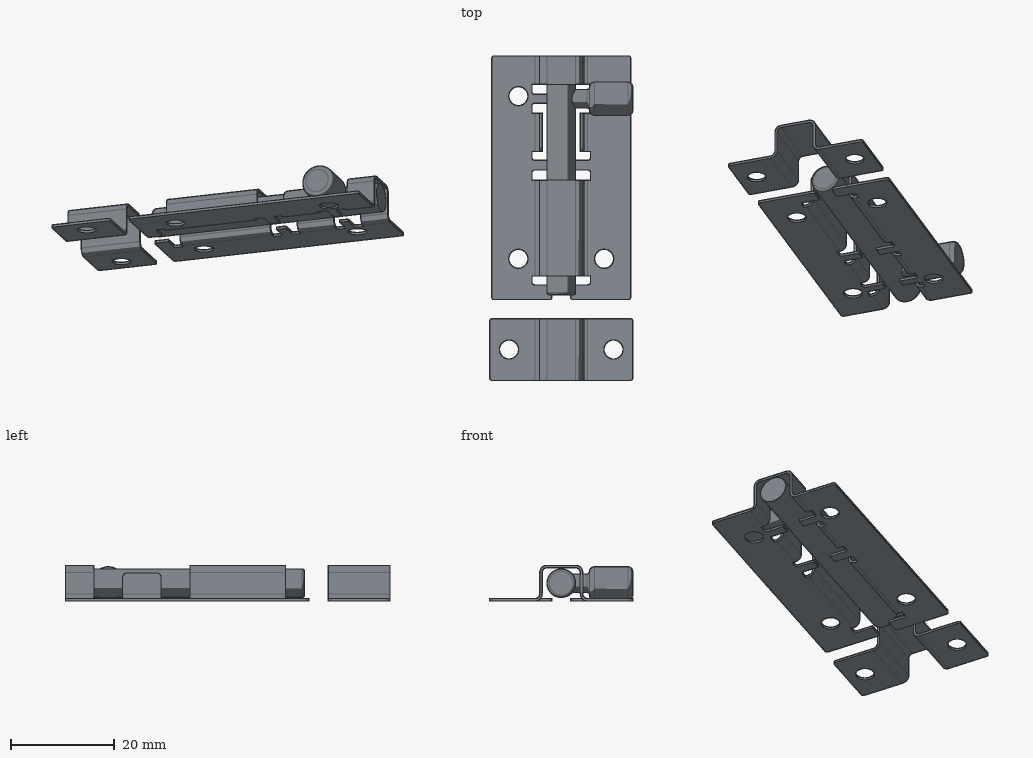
import cadquery as cq
import math

sheet = 0.5
bend_inner = 0.9
bend_outer = bend_inner + sheet
hat_width = 8.3
hat_height = 6.9
corner_radius = 0.5
hole_diameter = 3.6

wall_outer = hat_width / 2
wall_inner = wall_outer - sheet
foot_end = wall_outer + bend_inner

overall_length = 62.5
strike_length = 11.95
plate_length = 46.95
plate_back = overall_length
plate_front = plate_back - plate_length

strike_width = 27.55
strike_hole_x = 10.05

plate_width = 26.8
channel_width = 3.55
plate_hole_x = 8.25
hole_back_y = plate_back - 7.75
hole_front_y = plate_back - 39.05
cutout_width = 11.25

back_bridge = (plate_back - 5.5, plate_back)
front_bridge = (plate_back - 42.4, plate_back - 23.95)

back_cutout = (plate_back - 7.4, plate_back)
tab_cutout = (plate_back - 20.05, plate_back - 9.1)
front_cutout = (plate_back - 44.05, plate_back - 22.0)

tab_span = (plate_back - 18.45, plate_back - 11.0)
tab_height = 5.45
tab_corner_radius = 0.95

bolt_diameter = 5.5
bolt_axis_z = 3.45
bolt_tip_y = plate_back - 46.0
bolt_tip_round = 0.45
handle_y = plate_back - 8.25
pin_diameter = 3.6
knob_diameter = 6.4
knob_start_x = 5.45
knob_end_x = strike_width / 2
knob_round = 0.95


def block(x_min, x_max, y_span, z_min, z_max):
    """Box between the given limits."""
    size = (x_max - x_min, y_span[1] - y_span[0], z_max - z_min)
    return cq.Workplane("XY").box(*size, centered=False).translate((x_min, y_span[0], z_min))


def extrude_along_y(profile, y_span):
    """Extrude an XZ profile from the front end to the back end of a span."""
    return profile.extrude(-(y_span[1] - y_span[0])).translate((0, y_span[0], 0))


def arc_middle(centre_x, centre_height, radius, side_x, side_height):
    """Middle point of a quarter arc that bulges toward the given diagonal."""
    offset = radius * math.sqrt(0.5)
    return (centre_x + side_x * offset, centre_height + side_height * offset)


def bent_wall(y_span):
    """Left half of a hat section: foot bend, wall, top bend and half of the roof."""
    foot_z = bend_outer
    top_x = wall_outer - bend_outer
    top_z = hat_height - bend_outer
    profile = (
        cq.Workplane("XZ")
        .moveTo(-foot_end, 0)
        .threePointArc(arc_middle(-foot_end, foot_z, bend_outer, 1, -1), (-wall_inner, foot_z))
        .lineTo(-wall_inner, top_z)
        .threePointArc(arc_middle(-top_x, top_z, bend_inner, -1, 1), (-top_x, hat_height - sheet))
        .lineTo(0, hat_height - sheet)
        .lineTo(0, hat_height)
        .lineTo(-top_x, hat_height)
        .threePointArc(arc_middle(-top_x, top_z, bend_outer, -1, 1), (-wall_outer, top_z))
        .lineTo(-wall_outer, foot_z)
        .threePointArc(arc_middle(-foot_end, foot_z, bend_inner, 1, -1), (-foot_end, sheet))
        .close()
    )
    return extrude_along_y(profile, y_span)


def mirrored_pair(half):
    """A left half together with its mirror image on the right."""
    return half.union(half.mirror("YZ"))


def drill(sheet_body, places):
    """Screw holes through the flat sheet."""
    drills = cq.Workplane("XY").pushPoints(places).circle(hole_diameter / 2).extrude(sheet)
    return sheet_body.cut(drills)


def foot(half_width, y_span):
    """Flat left foot with rounded outer corners, ending where the bend begins."""
    return block(-half_width, -foot_end, y_span, 0, sheet).edges("|Z and <X").fillet(corner_radius)


def build_strike():
    """Separate hat-shaped keeper that the bolt slides into."""
    span = (0, strike_length)
    left_half = foot(strike_width / 2, span).union(bent_wall(span))
    hole_y = strike_length / 2
    return drill(mirrored_pair(left_half), [(-strike_hole_x, hole_y), (strike_hole_x, hole_y)])


def flat_plate_half():
    """Left half of the flat plate, up to the central channel, with its cutouts."""
    span = (plate_front, plate_back)
    plate = block(-plate_width / 2, -channel_width / 2, span, 0, sheet)
    plate = plate.edges("|Z and (<X or <Y)").fillet(corner_radius)
    for y_span in (back_cutout, tab_cutout, front_cutout):
        cutout = block(-cutout_width / 2, 0, y_span, 0, sheet)
        plate = plate.cut(cutout.edges("|Z and <X").fillet(corner_radius))
    for y_span in (back_bridge, tab_span, front_bridge):
        plate = plate.union(block(-cutout_width / 2, -foot_end, y_span, 0, sheet))
    return plate


def guide_tab():
    """Left guide tab: a hat wall cut off at the tab height, with rounded top corners."""
    wall_limit = block(-foot_end, -wall_inner, tab_span, 0, tab_height)
    wall_limit = wall_limit.edges("|X and >Z").fillet(tab_corner_radius)
    return bent_wall(tab_span).intersect(wall_limit)


def build_base_plate():
    """Plate with its two bridges and two guide tabs bent up from one sheet."""
    left_half = flat_plate_half().union(guide_tab())
    for y_span in (back_bridge, front_bridge):
        left_half = left_half.union(bent_wall(y_span))
    places = [(x, y) for x in (-plate_hole_x, plate_hole_x) for y in (hole_back_y, hole_front_y)]
    return drill(mirrored_pair(left_half), places)


def build_handle():
    """Pin and knob turned about X; the neck fillet runs straight into the knob's round."""
    pin_radius = pin_diameter / 2
    knob_radius = knob_diameter / 2
    round_radius = knob_radius - knob_round
    neck_fillet = round_radius - pin_radius
    neck_x = knob_start_x - neck_fillet
    back_x = knob_start_x + knob_round
    front_x = knob_end_x - knob_round
    outline = (
        cq.Workplane("XY")
        .lineTo(0, pin_radius)
        .lineTo(neck_x, pin_radius)
        .threePointArc(arc_middle(neck_x, round_radius, neck_fillet, 1, -1), (knob_start_x, round_radius))
        .threePointArc(arc_middle(back_x, round_radius, knob_round, -1, 1), (back_x, knob_radius))
        .lineTo(front_x, knob_radius)
        .threePointArc(arc_middle(front_x, round_radius, knob_round, 1, 1), (knob_end_x, round_radius))
        .lineTo(knob_end_x, 0)
        .close()
    )
    handle = outline.revolve(360, (0, 0), (1, 0))
    return handle.translate((0, handle_y, bolt_axis_z))


def build_bolt():
    """Round rod with a rounded tip and its sideways handle."""
    rod = cq.Workplane("XZ").center(0, bolt_axis_z).circle(bolt_diameter / 2)
    rod = extrude_along_y(rod, (bolt_tip_y, plate_back))
    rod = rod.faces("<Y").edges().fillet(bolt_tip_round)
    return rod.union(build_handle())


strike = build_strike()
bolt = build_bolt()
base_plate = build_base_plate().cut(bolt)

result = cq.Compound.makeCompound([
    *base_plate.solids().vals(),
    *bolt.solids().vals(),
    *strike.solids().vals(),
])